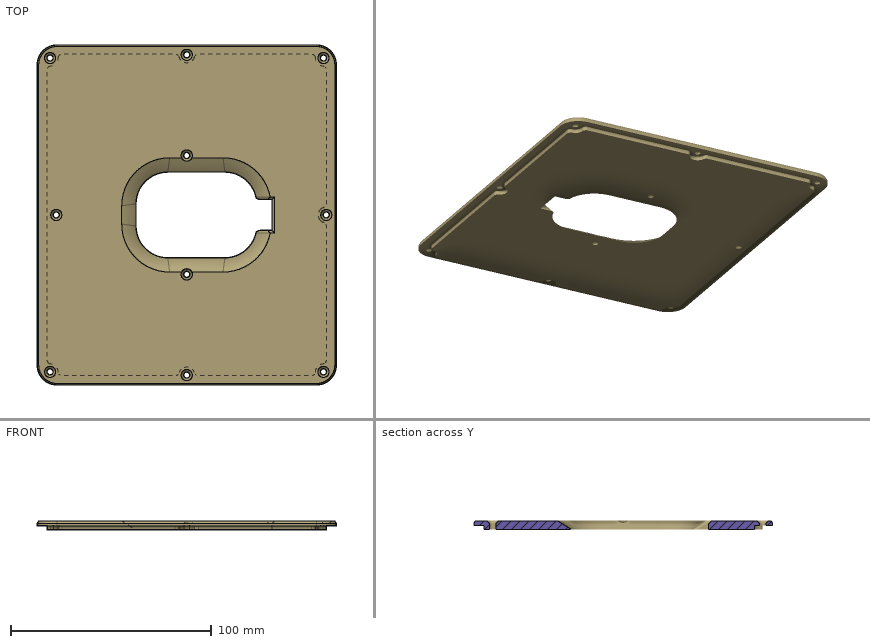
import cadquery as cq

PLATE_LENGTH_X = 149.55
PLATE_LENGTH_Y = 170.0
PLATE_CORNER_RADIUS = 10.0
PLATE_THICKNESS = 2.5
PLATE_CHAMFER_INSET = 0.8
PLATE_CHAMFER_DROP = 1.2

LIP_HEIGHT = 2.0
LIP_INSET_X = 5.0
LIP_INSET_Y = 4.7
LIP_HALF_X = PLATE_LENGTH_X / 2 - LIP_INSET_X
LIP_HALF_Y = PLATE_LENGTH_Y / 2 - LIP_INSET_Y
TOTAL_HEIGHT = LIP_HEIGHT + PLATE_THICKNESS

SCALLOP_RADIUS = 4.0
SCALLOP_EDGE_FILLET = 2.0

SCREW_DIAMETER = 2.93
COUNTERSINK_DIAMETER = 5.55
INNER_COUNTERSINK_DIAMETER = 5.65
INNER_SCREW_RECESS = 1.1
CORNER_SCREW_X = 68.3
CORNER_SCREW_Y = 78.4
END_SCREW_Y = 80.0
LEFT_SCREW_X = -65.2
RIGHT_SCREW_X = 69.7
INNER_SCREW_Y = 29.7

CORNER_SCREWS = [(sx * CORNER_SCREW_X, sy * CORNER_SCREW_Y) for sx in (-1, 1) for sy in (-1, 1)]
END_SCREWS = [(0, -END_SCREW_Y), (0, END_SCREW_Y)]
RIGHT_SCREW = (RIGHT_SCREW_X, 0)
LEFT_SCREW = (LEFT_SCREW_X, 0)
LIP_EDGE_SCREWS = CORNER_SCREWS + END_SCREWS + [RIGHT_SCREW]
PERIMETER_SCREWS = LIP_EDGE_SCREWS + [LEFT_SCREW]
INNER_SCREWS = [(0, -INNER_SCREW_Y), (0, INNER_SCREW_Y)]

OPENING_CENTRE_X = 4.8
OPENING_TOP_LENGTH = 74.6
OPENING_TOP_WIDTH = 57.1
OPENING_TOP_RADIUS = 24.0
OPENING_BOTTOM_RADIUS = 15.8
OPENING_WALL_RUN = 7.2

NOTCH_END_X = 42.5
NOTCH_WIDTH = 15.2
NOTCH_CHAMFER = 1.4
NOTCH_CHAMFER_ANGLE = 45.0
NOTCH_MOUTH_FILLET = 1.5
NOTCH_LENGTH = NOTCH_END_X - OPENING_CENTRE_X
NOTCH_CENTRE_X = OPENING_CENTRE_X + NOTCH_LENGTH / 2


def make_plate():
    """Rounded plate with a chamfered upper rim."""
    plate = (
        cq.Workplane("XY", origin=(0, 0, LIP_HEIGHT))
        .rect(PLATE_LENGTH_X, PLATE_LENGTH_Y)
        .extrude(PLATE_THICKNESS)
        .edges("|Z")
        .fillet(PLATE_CORNER_RADIUS)
    )
    return plate.faces(">Z").edges().chamfer(PLATE_CHAMFER_DROP, PLATE_CHAMFER_INSET)


def make_lip():
    """Rectangular lip scalloped around the screws along its edge."""
    lip = cq.Workplane("XY").rect(2 * LIP_HALF_X, 2 * LIP_HALF_Y).extrude(LIP_HEIGHT)
    scallops = cq.Workplane("XY").pushPoints(LIP_EDGE_SCREWS).circle(SCALLOP_RADIUS).extrude(LIP_HEIGHT)
    return lip.cut(scallops).edges("|Z").fillet(SCALLOP_EDGE_FILLET)


def opening_outline(inset, corner_radius):
    """Opening outline moved inwards from its size at the top face."""
    length = OPENING_TOP_LENGTH - 2 * inset
    width = OPENING_TOP_WIDTH - 2 * inset
    return cq.Sketch().rect(length, width).vertices().fillet(corner_radius)


def make_opening():
    """Cutter for the central opening, narrowing from the top face to the underside."""
    bottom_outline = opening_outline(OPENING_WALL_RUN, OPENING_BOTTOM_RADIUS)
    top_outline = opening_outline(0, OPENING_TOP_RADIUS)
    return (
        cq.Workplane("XY", origin=(OPENING_CENTRE_X, 0, 0))
        .placeSketch(bottom_outline, top_outline.moved(cq.Location(cq.Vector(0, 0, TOTAL_HEIGHT))))
        .loft()
    )


def make_notch():
    """Straight-walled cutter for the notch."""
    return (
        cq.Workplane("XY", origin=(NOTCH_CENTRE_X, 0, 0))
        .rect(NOTCH_LENGTH, NOTCH_WIDTH)
        .extrude(TOTAL_HEIGHT)
    )


def make_notch_flare():
    """Cutter for the chamfer around the upper edge of the notch."""
    return (
        cq.Workplane("XY", origin=(NOTCH_CENTRE_X, 0, TOTAL_HEIGHT))
        .rect(NOTCH_LENGTH + 2 * NOTCH_CHAMFER, NOTCH_WIDTH + 2 * NOTCH_CHAMFER)
        .extrude(-NOTCH_CHAMFER, taper=NOTCH_CHAMFER_ANGLE)
    )


def make_notched_opening():
    """Opening and notch in one cutter, rounded where the notch walls meet the sloping wall."""
    cutter = make_opening().union(make_notch())
    slope_middle_x = OPENING_CENTRE_X + (OPENING_TOP_LENGTH - OPENING_WALL_RUN) / 2
    for side in (-1, 1):
        mouth_point = (slope_middle_x, side * NOTCH_WIDTH / 2, TOTAL_HEIGHT / 2)
        mouth_edge = cutter.edges(cq.selectors.NearestToPointSelector(mouth_point))
        cutter = mouth_edge.fillet(NOTCH_MOUTH_FILLET)
    return cutter.union(make_notch_flare())


def drill_screws(body, points, countersink_diameter, recess_depth):
    """Countersunk through holes whose screw heads sit at a depth below the top face."""
    head_radius = countersink_diameter / 2
    screw_radius = SCREW_DIAMETER / 2
    head_z = TOTAL_HEIGHT - recess_depth
    cone_bottom_z = head_z - (head_radius - screw_radius)
    profile = (
        cq.Workplane("XZ")
        .lineTo(screw_radius, 0)
        .lineTo(screw_radius, cone_bottom_z)
        .lineTo(head_radius, head_z)
    )
    if recess_depth > 0:
        profile = profile.lineTo(head_radius, TOTAL_HEIGHT)
    hole = profile.lineTo(0, TOTAL_HEIGHT).close().revolve(360, (0, 0, 0), (0, 1, 0))
    for x, y in points:
        body = body.cut(hole.translate((x, y, 0)))
    return body


result = make_plate().union(make_lip())
result = result.cut(make_notched_opening())
result = drill_screws(result, PERIMETER_SCREWS, COUNTERSINK_DIAMETER, recess_depth=0)
result = drill_screws(result, INNER_SCREWS, INNER_COUNTERSINK_DIAMETER, recess_depth=INNER_SCREW_RECESS)